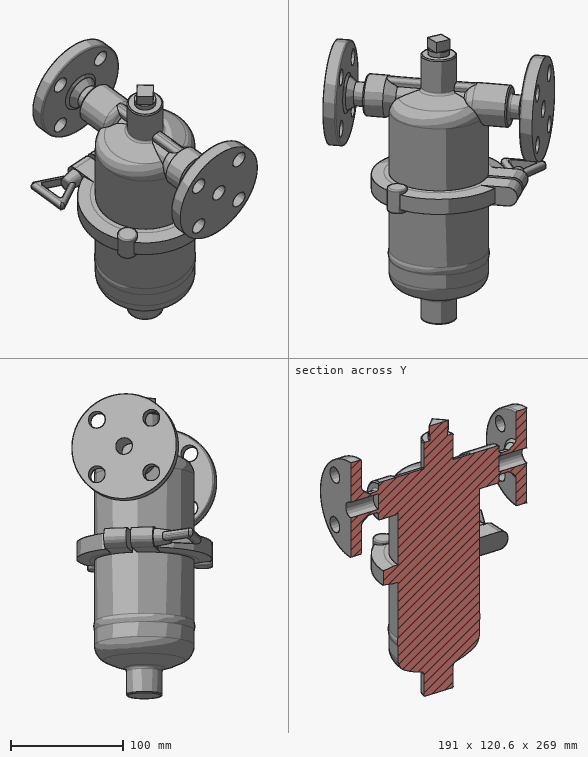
import cadquery as cq
import math

total_height = 269.0
body_radius = 89.0 / 2
body_mid = 131.3
port_height = 209.3

lower_tangent = 45.7
upper_tangent = 200.0
knuckle_height = 13.7
knuckle_rim_radius = 36.3
stub_radius = 32.0 / 2
neck_top = 254.2
stub_edge_chamfer = 1.0
neck_fillet = 2.5
drain_fillet = 3.2
axis_tolerance = 0.3
joint_clearance = 0.8
weld_ring_bottom = 59.2
weld_ring_top = 66.7
weld_ring_radius = 45.2

plug_radius = 19.0 / 2
plug_square_diagonal = 20.7
plug_square_height = 10.0

port_reach = 95.5
flange_radius = 95.0 / 2
flange_thickness = 11.8
flange_edge_fillet = 1.3
bolt_hole_diameter = 15.0
bolt_circle_diameter = 70.0
bolt_hole_count = 4
first_bolt_angle = 45
bore_diameter = 15.0
hub_flare_radius = 18.5
hub_root_radius = 15.5
hub_root_length = 2.0
hub_end = 75.5
pipe_radius = 21.8 / 2
socket_radius = 38.0 / 2
socket_end = 65.6
socket_edge_chamfer = 1.3
pipe_fillet = 2.0
duct_radius = 13.2
inlet_socket_start = 34.5
inlet_round_length = 7.0
inlet_round_radius = 15.3
inlet_taper_end = 25.3
outlet_socket_start = 47.0
outlet_taper_end = 36.5

rib_width = 10.2
rib_fillet = 3.8
rib_bottom = port_height

band_radius = 60.3
band_flat_radius = 49.0
band_flat_height = 18.0
band_rim_height = 14.5
lug_barrel_x = -67.5
lug_length = 44.5
lug_gap = 4.0

pin_x = 27.5
pin_y = 47.5
pin_radius = 18.0 / 2
pin_length = 22.5
pin_edge_fillet = 1.3

nut_x = -65.0
nut_base_diameter = 16.5
nut_tip_diameter = 11.8
nut_length = 14.5
nut_tip_fillet = 1.0
handle_thickness = 8.3
handle_bar = 5.6
handle_start_y = -28.0
handle_start_half_width = 5.6
handle_end_y = -60.3
handle_corner_y = -56.5
handle_corner_half_width = 20.5
handle_end_half_width = 19.0
handle_inner_start_y = -34.0
handle_inner_start_half_width = 3.5
handle_inner_corner_half_width = 14.3
handle_inner_fillet = 2.2
handle_outer_edge_fillet = 3.5


def revolve_about_z(points):
    return cq.Workplane("XZ").polyline(points).close().revolve(360, (0, 0, 0), (0, 1, 0))


def disc(radius, bottom, top):
    return cq.Workplane("XY").workplane(offset=bottom).circle(radius).extrude(top - bottom)


def dished_head():
    """Head standing on its tangent plane at height zero, crown upwards."""
    knuckle_width = body_radius - knuckle_rim_radius
    knuckle_angle = 2 * math.atan2(knuckle_width, knuckle_height)
    knuckle_radius = knuckle_height / math.sin(knuckle_angle)
    crown_radius = knuckle_rim_radius / math.cos(knuckle_angle)
    crown_centre = knuckle_height - crown_radius * math.sin(knuckle_angle)
    half_knuckle = (
        body_radius - knuckle_radius * (1 - math.cos(knuckle_angle / 2)),
        knuckle_radius * math.sin(knuckle_angle / 2),
    )
    half_crown_radius = knuckle_rim_radius / 2
    half_crown = (
        half_crown_radius,
        crown_centre + math.sqrt(crown_radius**2 - half_crown_radius**2),
    )
    return (
        cq.Workplane("XZ")
        .moveTo(0, 0)
        .lineTo(body_radius, 0)
        .threePointArc(half_knuckle, (knuckle_rim_radius, knuckle_height))
        .threePointArc(half_crown, (0, crown_centre + crown_radius))
        .close()
        .revolve(360, (0, 0, 0), (0, 1, 0))
    )


def joint_selector(bottom, top):
    """Selects circles centred on the vertical axis strictly between two heights."""
    return cq.selectors.BoxSelector(
        (-axis_tolerance, -axis_tolerance, bottom + joint_clearance),
        (axis_tolerance, axis_tolerance, top - joint_clearance),
    )


def vessel():
    bottom_head = dished_head().rotate((0, 0, 0), (1, 0, 0), 180).translate((0, 0, lower_tangent))
    top_head = dished_head().translate((0, 0, upper_tangent))
    shell = disc(body_radius, lower_tangent, upper_tangent).union(bottom_head).union(top_head)
    stubs = disc(stub_radius, 0, neck_top).faces("<Z or >Z").edges().chamfer(stub_edge_chamfer)
    shell = shell.union(stubs)
    bottom_joint = joint_selector(stub_edge_chamfer, lower_tangent - knuckle_height)
    top_joint = joint_selector(upper_tangent + knuckle_height, neck_top - stub_edge_chamfer)
    shell = shell.edges(bottom_joint).fillet(drain_fillet).edges(top_joint).fillet(neck_fillet)
    weld_ring_middle = (weld_ring_bottom + weld_ring_top) / 2
    weld_ring = (
        cq.Workplane("XZ")
        .moveTo(0, weld_ring_bottom)
        .lineTo(body_radius, weld_ring_bottom)
        .threePointArc((weld_ring_radius, weld_ring_middle), (body_radius, weld_ring_top))
        .lineTo(0, weld_ring_top)
        .close()
        .revolve(360, (0, 0, 0), (0, 1, 0))
    )
    return shell.union(weld_ring)


def plug():
    square_bottom = total_height - plug_square_height
    side = plug_square_diagonal / math.sqrt(2)
    square = (
        cq.Workplane("XY")
        .workplane(offset=square_bottom)
        .transformed(rotate=(0, 0, 45))
        .rect(side, side)
        .extrude(plug_square_height)
    )
    return square.union(disc(plug_radius, neck_top, square_bottom))


def port(direction, inner_profile):
    """One socket, pipe, hub and flange; inner_profile draws from the duct to the socket."""
    flange_back = port_reach - flange_thickness
    bend = 1 - math.sqrt(0.5)
    flange_bend = (
        flange_back + flange_edge_fillet * bend,
        flange_radius - flange_edge_fillet * bend,
    )
    outline = inner_profile(cq.Workplane("XY").moveTo(0, 0).lineTo(0, duct_radius))
    outline = (
        outline.lineTo(socket_end - socket_edge_chamfer, socket_radius)
        .lineTo(socket_end, socket_radius - socket_edge_chamfer)
        .lineTo(socket_end, pipe_radius + pipe_fillet)
        .threePointArc(
            (socket_end + pipe_fillet * bend, pipe_radius + pipe_fillet * bend),
            (socket_end + pipe_fillet, pipe_radius),
        )
        .lineTo(hub_end, pipe_radius)
        .lineTo(flange_back - hub_root_length, hub_root_radius)
        .lineTo(flange_back, hub_flare_radius)
        .lineTo(flange_back, flange_radius - flange_edge_fillet)
        .threePointArc(flange_bend, (flange_back + flange_edge_fillet, flange_radius))
        .lineTo(port_reach, flange_radius)
        .lineTo(port_reach, 0)
        .close()
    )
    solid = outline.revolve(360, (0, 0, 0), (1, 0, 0))
    face = cq.Workplane("YZ").workplane(offset=port_reach)
    bolt_holes = (
        face.polarArray(bolt_circle_diameter / 2, first_bolt_angle, 360, bolt_hole_count)
        .circle(bolt_hole_diameter / 2)
        .extrude(-flange_thickness)
    )
    bore = face.circle(bore_diameter / 2).extrude(socket_end - port_reach)
    solid = solid.cut(bolt_holes).cut(bore)
    if direction < 0:
        solid = solid.mirror("YZ")
    return solid.translate((0, 0, port_height))


def rounded_inlet(outline):
    """Rounded shoulder between the duct and the inlet socket."""
    round_end = inlet_socket_start - inlet_round_length
    round_drop = socket_radius - inlet_round_radius
    half_angle = math.atan2(round_drop, inlet_round_length)
    arc_radius = inlet_round_length / math.sin(2 * half_angle)
    round_middle = (
        inlet_socket_start - arc_radius * math.sin(half_angle),
        socket_radius - arc_radius * (1 - math.cos(half_angle)),
    )
    return (
        outline.lineTo(inlet_taper_end, duct_radius)
        .lineTo(round_end, inlet_round_radius)
        .threePointArc(round_middle, (inlet_socket_start, socket_radius))
    )


def conical_outlet(outline):
    """Straight cone between the duct and the outlet socket."""
    return outline.lineTo(outlet_taper_end, duct_radius).lineTo(outlet_socket_start, socket_radius)


def rib():
    rib_top = port_height + socket_radius
    length = inlet_socket_start + outlet_socket_start
    return (
        cq.Workplane("XY")
        .box(length, rib_width, rib_top - rib_bottom, centered=(False, True, False))
        .edges("|X and >Z")
        .fillet(rib_fillet)
        .translate((-inlet_socket_start, 0, rib_bottom))
    )


def clamp_band():
    flat = band_flat_height / 2
    rim = band_rim_height / 2
    ring = revolve_about_z(
        [
            (0, -flat),
            (band_flat_radius, -flat),
            (band_radius, -rim),
            (band_radius, rim),
            (band_flat_radius, flat),
            (0, flat),
        ]
    )
    barrel = cq.Workplane("XZ").circle(flat).extrude(lug_length / 2, both=True)
    plate = cq.Workplane("XY").box(
        -lug_barrel_x, lug_length, band_flat_height, centered=(False, True, True)
    )
    lugs = barrel.union(plate).translate((lug_barrel_x, 0, 0))
    shell_space = cq.Workplane("XY").circle(body_radius).extrude(flat, both=True)
    gap_end = lug_barrel_x - flat
    gap = (
        cq.Workplane("XY")
        .box(-gap_end, lug_gap, band_flat_height, centered=(False, True, True))
        .translate((gap_end, 0, 0))
    )
    return ring.union(lugs).cut(gap.cut(shell_space)).translate((0, 0, body_mid))


def hinge_pins():
    return (
        cq.Workplane("XY")
        .workplane(offset=body_mid - pin_length / 2)
        .pushPoints([(pin_x, -pin_y), (pin_x, pin_y)])
        .circle(pin_radius)
        .extrude(pin_length)
        .faces("<Z or >Z")
        .edges()
        .fillet(pin_edge_fillet)
    )


def nut():
    return (
        cq.Workplane("XZ", origin=(nut_x, -lug_length / 2, body_mid))
        .circle(nut_base_diameter / 2)
        .workplane(offset=nut_length)
        .circle(nut_tip_diameter / 2)
        .loft()
        .faces("<Y")
        .edges()
        .fillet(nut_tip_fillet)
    )


def symmetric_plate(right_points):
    """Handle-thick plate mirrored about the YZ plane from its right-hand points."""
    left_points = [(-x, y) for x, y in reversed(right_points)]
    plate = cq.Workplane("XY").polyline(right_points + left_points).close()
    return plate.extrude(handle_thickness / 2, both=True)


def handle():
    outer_right = [
        (handle_start_half_width, handle_start_y),
        (handle_corner_half_width, handle_corner_y),
        (handle_end_half_width, handle_end_y),
    ]
    inner_right = [
        (handle_inner_start_half_width, handle_inner_start_y),
        (handle_inner_corner_half_width, handle_end_y + handle_bar),
    ]
    plate = symmetric_plate(outer_right)
    plate = plate.faces("<Z or >Z").edges().fillet(handle_outer_edge_fillet)
    window = symmetric_plate(inner_right).edges("|Z and <Y").fillet(handle_inner_fillet)
    return plate.cut(window).translate((nut_x, 0, body_mid))


result = vessel()
result = result.union(port(-1, rounded_inlet)).union(port(1, conical_outlet))
result = result.union(rib()).union(plug())
result = result.union(clamp_band()).union(hinge_pins())
result = result.union(nut()).union(handle())